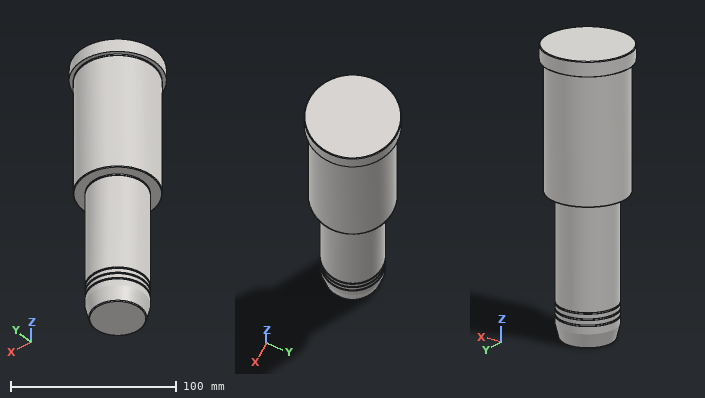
import cadquery as cq

total_length = 191.0
head_diameter = 59.0
head_height = 10.0
body_diameter = 54.0
pin_diameter = 40.0
pin_length = 95.1
tip_diameter = 35.0
tip_height = 10.0

edge_chamfer = 0.52
relief_depth = 0.2
relief_width = 1.1
groove_depth = 0.2
groove_width = 1.0
groove_pitch = 4.0
groove_count = 3
lowest_groove_z = 15.0

head_bottom_z = total_length - head_height
tip_taper = (pin_diameter - tip_diameter) / 2


def cylinder(diameter, bottom_z, top_z):
    """Solid cylinder on the Z axis between two heights."""
    base = cq.Workplane("XY").workplane(offset=bottom_z)
    return base.circle(diameter / 2).extrude(top_z - bottom_z)


def ring_cutter(diameter, depth, bottom_z, width):
    """Ring that cuts a groove of the given depth into a cylinder."""
    outer = cylinder(diameter + 2 * depth, bottom_z, bottom_z + width)
    core = cylinder(diameter - 2 * depth, bottom_z, bottom_z + width)
    return outer.cut(core)


head = cylinder(head_diameter, head_bottom_z, total_length)
head = head.faces(">Z").chamfer(edge_chamfer)

body = cylinder(body_diameter, pin_length, head_bottom_z)
body = body.faces("<Z").chamfer(edge_chamfer)
body = body.cut(ring_cutter(body_diameter, relief_depth, head_bottom_z - relief_width, relief_width))

pin = cylinder(pin_diameter, 0, pin_length)
pin = pin.faces("<Z").chamfer(tip_height, tip_taper)
pin = pin.faces("<Z").chamfer(edge_chamfer)
pin = pin.cut(ring_cutter(pin_diameter, relief_depth, pin_length - relief_width, relief_width))

for index in range(groove_count):
    groove_z = lowest_groove_z + index * groove_pitch
    pin = pin.cut(ring_cutter(pin_diameter, groove_depth, groove_z, groove_width))

result = head.union(body).union(pin)